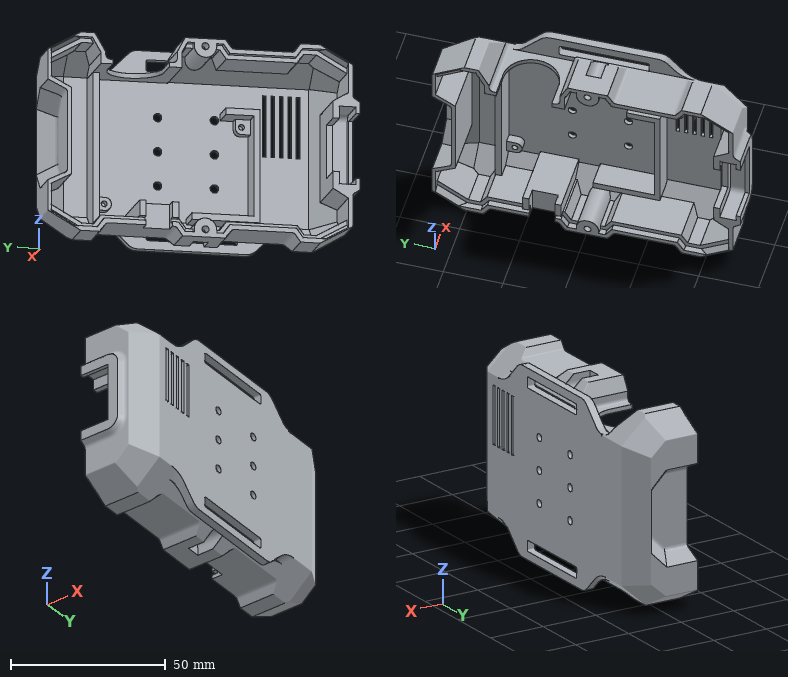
import cadquery as cq
import math


total_length = 103.2
depth = 23.1
half_width = 33.0
plug_height = 2.4
half_length = (total_length - plug_height) / 2
corner_length = 10.8
corner_width = 6.1
grip_depth = 3.0
grip_run = 2.2
grip_fillet = 1.5
front_grip = (-33.1, -8.4)
rear_grip = (5.9, 33.2)
edge_fillet = 0.5
bevel_fillet = 0.3
tolerance = 0.01

side_bevel_start = 13.2
end_bevel_start = 17.6
back_half_width = 24.0
back_half_length = 41.1
corner_bevel_start = 12.1

side_wall = 3.0
back_wall = 1.5
bevel_wall = 1.7
rear_wall = 1.1
front_wall = 1.5
floor_x = depth - back_wall
rear_inner_y = half_length - rear_wall
front_inner_y = front_wall - half_length
rebate_rim = 1.5
rebate_depth = 2.2
corner_rim = 0.4

notch_floor = 24.5
notch_rear = 31.3
notch_rear_knee = 26.8
notch_rear_flare = 0.58
notch_front = 7.6
notch_front_knee = 28.2
notch_front_flare = 0.53
notch_wall = 1.5
notch_fillet = 1.5
notch_lip_fillet = 0.8
window_rear = 28.9
window_front = 10.3
window_depth = 17.5

plate_thickness = 2.9
plate_mid_y = -1.7
plate_half_top = 19.9
plate_corner_radius = 4.7
plate_foot_radius = 9.3
notch_foot_radius = 4.6
plate_root = 1.0
slot_half_length = 15.1
slot_inner_z = 26.2
slot_outer_z = 30.0
slot_corner = 0.6

plug_half_width = 16.1
plug_depth = 16.4
plug_corner = 5.7
plug_taper = 33.0
plug_fillet = 1.5
recess_half_width = 16.7
recess_depth = 17.5
recess_bevel = 5.8
recess_height = 6.5
recess_draft = 3.2
recess_fillet = 1.5
liner_face_y = 42.6
liner_wall_half = 17.9
liner_face_half = 14.3

port_rear_y = -43.9
block_wall_half = 17.5
block_face_half = 14.5
port_pocket_rear_y = -45.9
port_pocket_front_y = -51.4
port_pocket = (12.9, 13.1)
port_mouth = (10.7, 10.9)
port_window = (8.9, 10.0)
port_pocket_corner = 2.2

rib_top_x = 12.6
cross_rib_front = 30.5
cross_rib_rear = 32.7
bracket_front = -22.4
bracket_top = 13.5
bracket_bottom = -24.1
bracket_arm = 2.2
bracket_upright = 1.9
bracket_top_rear = -11.2
bracket_bottom_rear = 0.0
seat_mid_y = 13.6
seat_length = 12.9
seat_slot_length = 8.7
seat_slot_depth = 4.1
seat_top = -21.9
post_height = 3.1
post_corner = 2.1
rear_post_y = (25.4, cross_rib_front)
rear_post_z = (-21.3, -16.9)
front_post_y = (bracket_front + bracket_upright, -15.6)
front_post_z = (6.4, bracket_top - bracket_arm)
post_holes = [(27.8, -19.1), (-17.6, 8.8)]
post_hole_radius = 0.9
post_hole_depth = 2.6
screw_y = -1.7
screw_z = 30.4
screw_boss_radius = 3.7
screw_hole_radius = 1.1
screw_hole_depth = 5.2
screw_head_radius = 2.5
screw_head_x = 7.1

floor_hole_radius = 1.3
floor_hole_pitch = (18.8, 11.4)
floor_hole_count = (2, 3)
vent_mid = (-31.5, 10.3)
vent_size = (1.1, 20.3)
vent_pitch = 2.8
vent_count = 5


def box(x, y, z):
    """Box between the given (low, high) limits along each axis."""
    size = (x[1] - x[0], y[1] - y[0], z[1] - z[0])
    return cq.Workplane("XY").box(*size, centered=False).translate((x[0], y[0], z[0]))


def outline_points(extra):
    """Closed (y, z) outline, symmetric about z = 0, with its ends moved outward by extra."""
    end_y = half_length + extra
    end_z = half_width - corner_width - extra * corner_width / corner_length
    upper = [
        (end_y, end_z),
        (half_length - corner_length, half_width),
    ]
    for low, high in (rear_grip, front_grip):
        upper += [
            (high, half_width),
            (high - grip_run, half_width - grip_depth),
            (low + grip_run, half_width - grip_depth),
            (low, half_width),
        ]
    upper += [
        (corner_length - half_length, half_width),
        (-end_y, end_z),
    ]
    return upper + [(y, -z) for y, z in reversed(upper)]


def outline_prism(inset, length):
    """Outline extruded from the rim; only the long sides and corner bevels take the inset."""
    outline = cq.Workplane("YZ").polyline(outline_points(inset)).close()
    if inset:
        outline = outline.offset2D(-inset, "intersection")
    return outline.extrude(length)


def outside_plane(first, second, third, inset):
    """Large block covering everything outside the plane through three points."""
    origin = cq.Vector(*first)
    along = cq.Vector(*second) - origin
    normal = along.cross(cq.Vector(*third) - origin).normalized()
    if normal.x < 0:
        normal = normal * -1
    plane = cq.Plane(origin - normal * inset, along, normal)
    return cq.Workplane(plane).rect(4 * total_length, 4 * total_length).extrude(total_length)


def bevel(solid, inset):
    """Trim a prism with the eight bevel planes, each moved inward by the inset."""
    for side in (1, -1):
        back_z = side * back_half_width
        side_z = side * half_width
        side_point = (side_bevel_start, 0, side_z)
        planes = [((depth, 0, back_z), (depth, 1, back_z), side_point)]
        for end in (1, -1):
            back_y = end * back_half_length
            end_y = end * half_length
            back_corner = (depth, back_y, back_z)
            side_corner = (side_bevel_start, back_y, side_z)
            wall_corner = (corner_bevel_start, end_y, side_z - side * corner_width)
            planes.append((back_corner, side_corner, wall_corner))
            if side > 0:
                planes.append((back_corner, (depth, back_y, 0), (end_bevel_start, end_y, 0)))
        for first, second, third in planes:
            solid = solid.cut(outside_plane(first, second, third, inset))
    return solid


def notch_outline():
    """Notch in the (y, z) plane: upright walls that flare above their knees, drawn well past the side."""
    above = 2 * half_width
    rear_rise = above - notch_rear_knee
    front_rise = above - notch_front_knee
    points = [
        (notch_rear + notch_rear_flare * rear_rise, above),
        (notch_rear, notch_rear_knee),
        (notch_rear, notch_floor),
        (notch_front, notch_floor),
        (notch_front, notch_front_knee),
        (notch_front - notch_front_flare * front_rise, above),
    ]
    return cq.Workplane("YZ").polyline(points).close()


notch = notch_outline().extrude(depth).edges("|X").edges("<Z").fillet(notch_fillet)
notch_liner = notch_outline().offset2D(notch_wall, "intersection").extrude(depth)

grip_z = half_width - grip_depth
body = outline_prism(0, depth)
grip_edges = body.edges("|X").filter(lambda edge: abs(abs(edge.Center().z) - grip_z) < tolerance)
body = grip_edges.fillet(grip_fillet)
body = body.edges("|X and (<Y or >Y)").fillet(edge_fillet)
body = bevel(body, 0).cut(notch)
notch_lip_y = notch_rear + notch_rear_flare * (half_width - notch_rear_knee)
notch_lip = cq.selectors.NearestToPointSelector((side_bevel_start / 2, notch_lip_y, half_width))
body = body.edges(notch_lip).fillet(notch_lip_fillet)
body = body.edges("(not |X) and (not <X)").fillet(bevel_fillet)


def strap_plate():
    """Plate on the +Z side with rounded corners and 45 degree ends running down into the shell."""
    base_z = back_half_width - plate_root
    base_y = plate_half_top + half_width - base_z
    points = [
        (-base_y, base_z),
        (-plate_half_top, half_width),
        (plate_half_top, half_width),
        (base_y, base_z),
    ]
    plate = cq.Workplane("YZ").polyline(points).close().extrude(plate_thickness)
    return plate.edges("|X and >Z").fillet(plate_corner_radius)


def plate_foot(front_z, back_z, radius):
    """Concave blend where a 45 degree plate end meets a shell face that falls from front_z to back_z."""
    edge_angle = math.radians(45)
    half_turn = edge_angle / 2
    tangent = radius * math.tan(half_turn)
    foot = cq.Workplane("YZ")
    for offset, foot_z in ((0, front_z), (plate_thickness, back_z)):
        foot_y = plate_half_top + half_width - foot_z
        edge_shift = tangent * math.cos(edge_angle)
        start = (foot_y - edge_shift, foot_z + edge_shift)
        end = (foot_y + tangent, foot_z)
        middle = (end[0] - radius * math.sin(half_turn), foot_z + radius * (1 - math.cos(half_turn)))
        root_z = foot_z - plate_root
        foot = foot.workplane(offset=offset).moveTo(*start).threePointArc(middle, end)
        foot = foot.lineTo(end[0], root_z).lineTo(start[0], root_z).close()
    return foot.loft(ruled=True)


side_bevel_slope = (half_width - back_half_width) / (depth - side_bevel_start)
plate_front_z = back_half_width + side_bevel_slope * plate_thickness
shell_foot = plate_foot(plate_front_z, back_half_width, plate_foot_radius)
notch_foot = plate_foot(notch_floor, notch_floor, notch_foot_radius)
upper_plate = strap_plate().union(notch_foot).union(shell_foot.mirror("XZ"))
lower_plate = strap_plate().union(shell_foot).union(shell_foot.mirror("XZ")).mirror("XY")
plate_place = (depth - plate_thickness, plate_mid_y, 0)
body = body.union(upper_plate.translate(plate_place)).union(lower_plate.translate(plate_place))
envelope = body


def end_block(wall_y, face_y, wall_half, face_half):
    """Prism along X, narrowing from an end wall to a flat inner face."""
    points = [(wall_y, wall_half), (face_y, face_half), (face_y, -face_half), (wall_y, -wall_half)]
    return cq.Workplane("YZ").polyline(points).close().extrude(depth)


recess_liner = end_block(rear_inner_y, liner_face_y, liner_wall_half, liner_face_half)
port_block = end_block(front_inner_y, port_rear_y, block_wall_half, block_face_half)
between_ends = box((0, depth), (front_inner_y, rear_inner_y), (-half_width, half_width))
kept = notch_liner.union(recess_liner).union(port_block)
hollow = bevel(outline_prism(side_wall, floor_x), bevel_wall).intersect(between_ends).cut(kept)
rebate_limit = outline_prism(rebate_rim, rebate_depth).intersect(between_ends).cut(kept)
rebate = rebate_limit.cut(outline_prism(side_wall, rebate_depth))
body = body.cut(hollow).cut(rebate_limit)


def corner_relief(end, side):
    corner_angle = math.atan2(corner_width, corner_length)
    middle = (0, end * (half_length - corner_length / 2), side * (half_width - corner_width / 2))
    inward = (0, -end * math.sin(corner_angle), -side * math.cos(corner_angle))
    along = (0, end * math.cos(corner_angle), -side * math.sin(corner_angle))
    plane = cq.Plane(middle, inward, along)
    depth_sign = plane.yDir.x
    triangle = [(corner_rim, 0), (rebate_rim, 0), (rebate_rim, depth_sign * rebate_depth)]
    return cq.Workplane(plane).polyline(triangle).close().extrude(corner_length, both=True)


relief_half = half_width - rebate_rim
relief_zone = box((0, rebate_depth), (front_inner_y, rear_inner_y), (-relief_half, relief_half))
for end in (1, -1):
    for side in (1, -1):
        body = body.cut(corner_relief(end, side).intersect(relief_zone))

plug_plane = cq.Plane((0, -half_length, 0), (1, 0, 0), (0, -1, 0))
plug = (
    cq.Workplane(plug_plane)
    .sketch()
    .rect(2 * plug_depth, 2 * plug_half_width)
    .vertices()
    .fillet(plug_corner)
    .finalize()
    .extrude(plug_height, taper=plug_taper)
)
plug_space = box((0, depth), (-total_length, 0), (-half_width, half_width))
body = body.union(plug.intersect(plug_space))
plug_foot = cq.selectors.BoxSelector(
    (0, -half_length - tolerance, -plug_half_width - tolerance),
    (plug_depth + tolerance, tolerance - half_length, plug_half_width + tolerance),
)
body = body.edges(plug_foot).fillet(plug_fillet)


def recess_section(shrink):
    """Recess outline in (x, z), open at the rim, with bevelled corners."""
    half = recess_half_width - shrink
    reach = recess_depth - shrink
    flat = half - recess_bevel
    start = reach - recess_bevel
    return [(0, half), (start, half), (reach, flat), (reach, -flat), (start, -half), (0, -half)]


recess_plane = cq.Plane((0, half_length, 0), (1, 0, 0), (0, -1, 0))
recess = (
    cq.Workplane(recess_plane)
    .polyline(recess_section(0))
    .close()
    .workplane(offset=recess_height)
    .polyline(recess_section(recess_draft))
    .close()
    .loft()
)
recess = recess.faces("<Y").edges("not <X").fillet(recess_fillet)
body = body.cut(recess)


def port_opening(size, rear_y, front_y):
    """Slot open at the rim, of the given half width and depth."""
    half, reach = size
    return box((0, reach), (front_y, rear_y), (-half, half))


pocket = port_opening(port_pocket, port_pocket_rear_y, port_pocket_front_y)
pocket = pocket.edges("|Y and >X").fillet(port_pocket_corner)
body = body.cut(pocket)
body = body.cut(port_opening(port_mouth, port_pocket_front_y, -total_length))
body = body.cut(port_opening(port_window, port_rear_y, port_pocket_rear_y))

window_radius = (window_rear - window_front) / 2
window_y = (window_rear + window_front) / 2
window_x = window_depth - window_radius
window_z = (notch_floor - side_wall, half_width)
window = box((0, window_x), (window_front, window_rear), window_z)
window_end = cq.Workplane("XY").center(window_x, window_y).circle(window_radius).extrude(half_width)
window_end = window_end.intersect(box((0, depth), (window_front, window_rear), window_z))
body = body.cut(window.union(window_end))

rib_limits = [
    ((cross_rib_front, cross_rib_rear), (-half_width, notch_floor)),
    ((bracket_front, bracket_top_rear), (bracket_top - bracket_arm, bracket_top)),
    ((bracket_front, bracket_front + bracket_upright), (bracket_bottom, bracket_top)),
    ((bracket_front, bracket_bottom_rear), (bracket_bottom, bracket_bottom + bracket_arm)),
]
for rib_y, rib_z in rib_limits:
    rib = box((rib_top_x, floor_x), rib_y, rib_z)
    body = body.union(rib.intersect(envelope))

seat_y = (seat_mid_y - seat_length / 2, seat_mid_y + seat_length / 2)
seat_slot_y = (seat_mid_y - seat_slot_length / 2, seat_mid_y + seat_slot_length / 2)
seat_z = (-half_width, seat_top)
body = body.union(box((0, floor_x), seat_y, seat_z).intersect(envelope)).cut(rebate)
body = body.cut(box((0, seat_slot_depth), seat_slot_y, seat_z))

post_x = floor_x - post_height
rear_post = box((post_x, floor_x), rear_post_y, rear_post_z).edges("|X and <Y").fillet(post_corner)
front_post = box((post_x, floor_x), front_post_y, front_post_z).edges("|X and >Y and <Z").fillet(post_corner)
body = body.union(rear_post).union(front_post)
for hole_y, hole_z in post_holes:
    hole = cq.Workplane("YZ", origin=(post_x, hole_y, hole_z)).circle(post_hole_radius)
    body = body.cut(hole.extrude(post_hole_depth))


def round_ended(radius, side, near_x, far_x):
    """Prism along X, round towards the inside and reaching out past the side wall."""
    width = (screw_y - radius, screw_y + radius)
    outer = box((near_x, far_x), width, (screw_z, half_width))
    bore = cq.Workplane("YZ").center(screw_y, screw_z).circle(radius).extrude(far_x - near_x)
    prism = outer.union(bore.translate((near_x, 0, 0)))
    return prism if side > 0 else prism.mirror("XY")


for side in (1, -1):
    body = body.union(round_ended(screw_boss_radius, side, 0, floor_x).intersect(envelope))
    body = body.cut(round_ended(screw_head_radius, side, screw_head_x, depth - plate_thickness))
    hole = cq.Workplane("YZ").center(screw_y, side * screw_z).circle(screw_hole_radius)
    body = body.cut(hole.extrude(screw_hole_depth))

slot_height = slot_outer_z - slot_inner_z
slot_z = (slot_outer_z + slot_inner_z) / 2
strap_slot = (
    cq.Workplane("YZ", origin=(depth - plate_thickness, plate_mid_y, slot_z))
    .rect(2 * slot_half_length, slot_height)
    .extrude(plate_thickness)
    .edges("|X")
    .fillet(slot_corner)
)
body = body.cut(strap_slot).cut(strap_slot.mirror("XY"))

floor_holes = cq.Workplane("YZ").rarray(*floor_hole_pitch, *floor_hole_count)
floor_holes = floor_holes.circle(floor_hole_radius).extrude(depth)
vents = cq.Workplane("YZ").center(*vent_mid).rarray(vent_pitch, 1, vent_count, 1)
vents = vents.rect(*vent_size).extrude(depth)
floor_zone = box((floor_x, depth), (-half_length, half_length), (-half_width, half_width))
result = body.cut(floor_holes.union(vents).intersect(floor_zone))